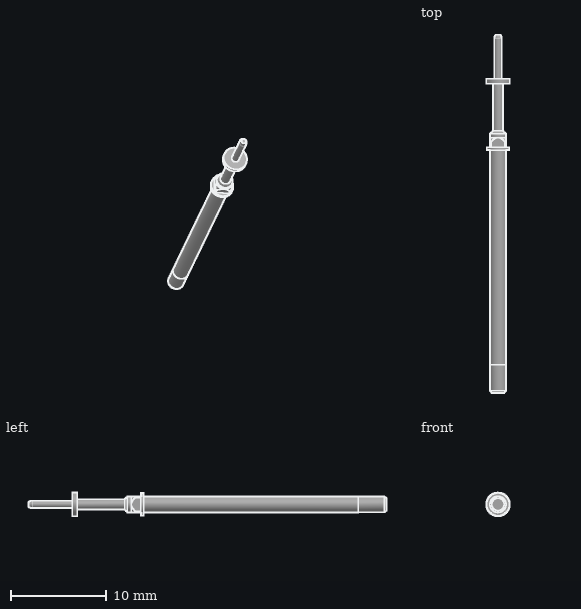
import cadquery as cq

total_length = 37.6

barrel_dia = 1.7
barrel_end_taper_length = 0.25
barrel_end_dia = 1.3
end_sleeve_length = 3.0
end_sleeve_dia = 1.69

collar_dia = 2.4
collar_thickness = 0.3
collar_front_y = 25.8
square_width = 1.7
square_corner_dia = 2.2
square_bevel_length = 0.4
square_length = 1.0
neck_length = 0.4
neck_taper_length = 0.3

shaft_dia = 1.1
disc_dia = 2.5
disc_thickness = 0.55
disc_front_to_tip = 4.6
tip_dia = 0.8
tip_nose_length = 0.4
tip_end_dia = 0.5

collar_back_y = collar_front_y - collar_thickness
square_front_y = collar_front_y + square_length
neck_front_y = square_front_y + neck_length
taper_front_y = neck_front_y + neck_taper_length
disc_front_y = total_length - disc_front_to_tip
disc_back_y = disc_front_y - disc_thickness


def rod(diameter, start_y, end_y):
    """Cylinder on the Y axis between two places."""
    return (
        cq.Workplane("XZ", origin=(0, start_y, 0))
        .circle(diameter / 2)
        .extrude(start_y - end_y)
    )


def cone(start_dia, end_dia, start_y, end_y):
    """Truncated cone on the Y axis between two places."""
    outline = [
        (0, start_y),
        (start_dia / 2, start_y),
        (end_dia / 2, end_y),
        (0, end_y),
    ]
    return cq.Workplane("XY").polyline(outline).close().revolve(360, (0, 0, 0), (0, 1, 0))


def make_barrel():
    end_taper = cone(barrel_end_dia, end_sleeve_dia, 0, barrel_end_taper_length)
    sleeve = rod(end_sleeve_dia, barrel_end_taper_length, end_sleeve_length)
    return end_taper.union(sleeve).union(rod(barrel_dia, end_sleeve_length, neck_front_y))


def make_square_section():
    """Square bar whose corners are turned round and bevelled at the front."""
    bar = cq.Workplane("XY").box(square_width, square_length, square_width)
    bar = bar.translate((0, collar_front_y + square_length / 2, 0))
    bevel_start_y = square_front_y - square_bevel_length
    turned = rod(square_corner_dia, collar_front_y, bevel_start_y)
    turned = turned.union(cone(square_corner_dia, barrel_dia, bevel_start_y, square_front_y))
    return bar.intersect(turned)


def make_collar():
    return rod(collar_dia, collar_back_y, collar_front_y)


def make_tip():
    """Slim pin with a rounded nose that leaves its side smoothly and ends in a small flat."""
    nose_start_y = total_length - tip_nose_length
    return (
        cq.Workplane("XY")
        .moveTo(0, disc_front_y)
        .lineTo(tip_dia / 2, disc_front_y)
        .lineTo(tip_dia / 2, nose_start_y)
        .tangentArcPoint((tip_end_dia / 2, total_length), relative=False)
        .lineTo(0, total_length)
        .close()
        .revolve(360, (0, 0, 0), (0, 1, 0))
    )


def make_plunger():
    taper = cone(barrel_dia, shaft_dia, neck_front_y, taper_front_y)
    shaft = rod(shaft_dia, taper_front_y, disc_back_y)
    disc = rod(disc_dia, disc_back_y, disc_front_y)
    return taper.union(shaft).union(disc).union(make_tip())


result = make_barrel().union(make_collar()).union(make_square_section()).union(make_plunger())